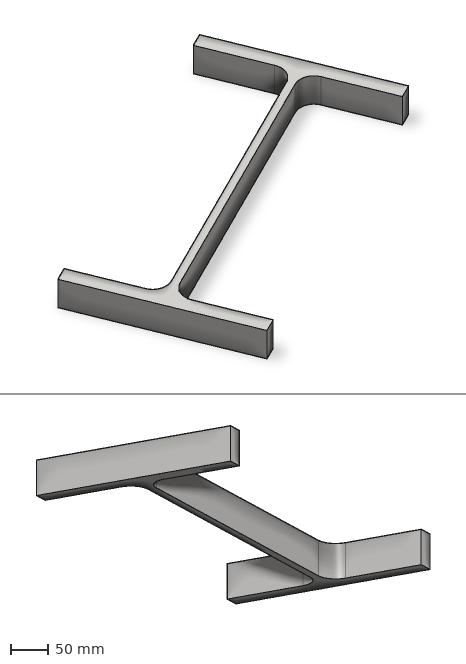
import cadquery as cq

beam_depth = 540.0
flange_width = 300.0
flange_thickness = 24.0
web_thickness = 12.5
root_radius = 27.0
slice_length = 50.0

flange_offset = (beam_depth - flange_thickness) / 2

beam = cq.Workplane("XY").box(web_thickness, beam_depth, slice_length)

for side in (-1, 1):
    flange = cq.Workplane("XY").box(flange_width, flange_thickness, slice_length)
    beam = beam.union(flange.translate((0, side * flange_offset, 0)))

inner_corners = cq.selectors.BoxSelector(
    (-web_thickness, -flange_offset, -slice_length),
    (web_thickness, flange_offset, slice_length),
)
result = beam.edges("|Z").edges(inner_corners).fillet(root_radius)